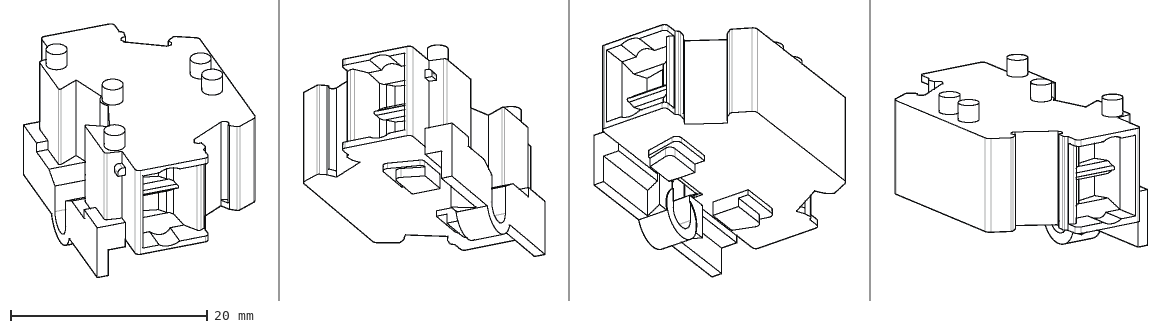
import cadquery as cq


half_width = 14.1
back_y = 18.2
housing_height = 10.0
plate = 0.7
shoulder_y = 3.05
wing_y = 11.0
flank_bottom = (10.25, 10.75)
flank_top = (8.0, 14.5)
leg_y = 1.25
leg_outer_x = 9.65
leg_inner_x = 3.67
notch_corner = (4.9, 3.55)
notch_peak = (0.9, 4.88)
corner_radius = 0.45
leg_radius = 0.3
leg_inner_radius = 0.15
head_side_radius = 0.3
bump_radius = 0.3
head_radius = 0.6

flank_groove_radius = 0.45
flank_groove_centers = [(8.4, 14.75), (10.7, 11.05)]

pin_radius = 1.07
pin_height = 1.8
leg_pin = (8.5, 2.75)
head_pin = (1.7, 15.9)
center_pin_y = 5.7
boss_radius = 1.3

mouth_front_y = 3.77
core_tip = (12.95, 10.33)
core_tip_radius = 0.3
funnel_start_x = 11.3
funnel_throat = [(10.2, 8.55), (9.88, 7.9)]
hole_end = [(9.1, 7.3), (8.55, 5.02)]
funnel_end_x = 10.0
funnel_end_z = 1.7
rib_tip_x = 10.5
rib_tip_half = 0.23
rib_root_half = 0.69
trough_y = 6.65
trough_half_width = 1.12
trough_depth = 0.32

catch_root_x = 9.0
catch_reach_x = 10.83
catch_front_y = 2.25
catch_bottom_z = 7.7
catch_top_z = 8.6
catch_radius = 0.5

bar_half_width = 10.83
bar_end_top = 2.05
bar_top = 1.0
bar_step_x = 7.0
bar_bottom = -3.9
bar_thickness = 1.2
ledge_depth = shoulder_y
ledge_bottom = -0.85
ring_depth = 3.55
hub_base_half = 2.75
hub_back_half = 3.95
hub_back_y = 3.45
slot_radius = 1.57
ring_radius = 2.75
slot_center_z = -3.05
flare_half_width = 3.35
flare_depth_y = 3.98
web_back_y = 5.2
recess_half_width = 2.2
recess_back_y = 4.6
recess_height = 0.24

pad_front_y = 4.67
pad_inner_x = 4.0
pad_outer_x = 9.0
pad_lean = 1.0
pad_step = 0.5
pad_back_radius = 0.6
pad_front_radius = 0.4
wide_pad_back = 9.02
wide_pad_depth = 0.6
tall_pad_back = 7.83
tall_pad_depth = 1.6


def box(x_range, y_range, z_range):
    """Box between the given coordinate pairs."""
    (x0, x1), (y0, y1), (z0, z1) = x_range, y_range, z_range
    return cq.Workplane("XY").box(x1 - x0, y1 - y0, z1 - z0, centered=False).translate((x0, y0, z0))


def prism(points, z_range):
    """Closed XY polygon extruded between two heights."""
    bottom, top = z_range
    return cq.Workplane("XY").workplane(offset=bottom).polyline(points).close().extrude(top - bottom)


def both_sides(solid):
    """The solid together with its mirror image across X = 0."""
    return solid.union(solid.mirror("YZ"))


def upright_edges(solid, x, y, radius):
    """Round the vertical edge that passes through (x, y)."""
    reach = 0.02
    low = (x - reach, y - reach, -housing_height)
    high = (x + reach, y + reach, housing_height)
    near = cq.selectors.BoxSelector(low, high)
    return solid.edges("|Z").edges(near).fillet(radius)


def housing_blank():
    bump = (12.05, 11.37)
    head_corner = (8.35, back_y)
    head_side = (9.52, 15.87)
    shoulder_inner = (9.9, shoulder_y)
    half_outline = [
        (0, back_y), head_corner,
        head_side, (8.95, 15.1), flank_top,
        flank_bottom, (11.1, 11.22), bump, (12.4, wing_y),
        (half_width, wing_y), (half_width, shoulder_y), shoulder_inner,
        (leg_outer_x, leg_y), (leg_inner_x, leg_y), notch_corner, notch_peak,
        (0, notch_peak[1]),
    ]
    half = prism(half_outline, (0, housing_height))
    half = upright_edges(half, *head_corner, head_radius)
    half = upright_edges(half, *head_side, head_side_radius)
    half = upright_edges(half, *bump, bump_radius)
    half = upright_edges(half, half_width, wing_y, corner_radius)
    half = upright_edges(half, half_width, shoulder_y, corner_radius)
    half = upright_edges(half, leg_outer_x, leg_y, leg_radius)
    half = upright_edges(half, leg_inner_x, leg_y, leg_inner_radius)
    boss = cq.Workplane("XY").center(0, center_pin_y).circle(boss_radius).extrude(housing_height)
    return both_sides(half).union(boss)


def flank_grooves():
    cutter = cq.Workplane("XY").workplane(offset=plate).pushPoints(flank_groove_centers)
    return both_sides(cutter.circle(flank_groove_radius).extrude(housing_height))


def pins():
    lx, ly = leg_pin
    hx, hy = head_pin
    centers = [(-lx, ly), (lx, ly), (-hx, hy), (hx, hy), (0, center_pin_y)]
    top = cq.Workplane("XY").workplane(offset=housing_height)
    return top.pushPoints(centers).circle(pin_radius).extrude(pin_height)


def pocket_plan(clear_x):
    """Upright walls of the +X pocket over the full height, open at the mouth and behind the core."""
    flank_run = (flank_bottom[0] - flank_top[0]) / (flank_top[1] - flank_bottom[1])
    tip_x, tip_y = core_tip
    clear_y = wing_y + 1
    core_back = (tip_x - flank_run * (clear_y - tip_y), clear_y)
    walls = [
        (clear_x, mouth_front_y), (funnel_start_x, mouth_front_y), *reversed(hole_end),
        *reversed(funnel_throat), core_tip, core_back, (clear_x, clear_y),
    ]
    return upright_edges(prism(walls, (0, housing_height)), *core_tip, core_tip_radius)


def pocket_profile(clear_x):
    """Floor, ceiling and middle rib of the +X pocket, as a cutter running along Y."""
    middle_z = housing_height / 2
    rim_half = middle_z - plate
    throat_half = middle_z - funnel_end_z
    deep_x = hole_end[-1][0]
    profile = cq.Workplane("XZ", origin=(0, 0, middle_z))
    funnel = [
        (clear_x, -rim_half), (funnel_start_x, -rim_half), (funnel_end_x, -throat_half),
        (deep_x, -throat_half), (deep_x, throat_half), (funnel_end_x, throat_half),
        (funnel_start_x, rim_half), (clear_x, rim_half),
    ]
    rib = (
        profile.moveTo(deep_x, -rib_root_half)
        .lineTo(funnel_end_x, -rib_root_half)
        .lineTo(rib_tip_x, -rib_tip_half)
        .threePointArc((rib_tip_x + rib_tip_half, 0), (rib_tip_x, rib_tip_half))
        .lineTo(funnel_end_x, rib_root_half)
        .lineTo(deep_x, rib_root_half)
        .close()
        .extrude(-back_y)
    )
    return profile.polyline(funnel).close().extrude(-back_y).cut(rib)


def screwdriver_troughs(clear_x):
    """Shallow round troughs in floor and ceiling, running out against the funnel slopes."""
    trough_radius = (trough_half_width**2 + trough_depth**2) / (2 * trough_depth)
    lift = trough_radius - trough_depth
    slope_run = (funnel_start_x - funnel_end_x) / (funnel_end_z - plate)
    start_x = funnel_start_x
    end_profile = [
        (start_x, plate), (start_x + slope_run * trough_depth, plate - trough_depth),
        (clear_x, plate - trough_depth), (clear_x, plate),
    ]
    lower = cq.Workplane("YZ").workplane(offset=start_x).center(trough_y, plate + lift)
    lower = lower.circle(trough_radius).extrude(clear_x - start_x)
    lower = lower.intersect(cq.Workplane("XZ").polyline(end_profile).close().extrude(-back_y))
    return lower.union(lower.mirror("XY", (0, 0, housing_height / 2)))


def wire_pocket():
    """Cutter for the complete +X pocket."""
    clear_x = half_width + 1
    pocket = pocket_plan(clear_x).intersect(pocket_profile(clear_x))
    return pocket.union(screwdriver_troughs(clear_x))


def catches():
    catch = box(
        (catch_root_x, catch_reach_x), (catch_front_y, shoulder_y), (catch_bottom_z, catch_top_z)
    )
    return both_sides(catch.edges("|X and <Y and >Z").fillet(catch_radius))


def bar_outline():
    """Half outline of the bar in X and Z, without the ring."""
    return [
        (0, bar_top), (bar_step_x, bar_top), (bar_step_x, bar_end_top),
        (bar_half_width, bar_end_top), (bar_half_width, bar_bottom), (0, bar_bottom),
    ]


def foot_bar():
    front = cq.Workplane("XZ")
    full = both_sides(front.polyline(bar_outline()).close().extrude(-ledge_depth))
    under_ledge = box(
        (-bar_half_width, bar_half_width), (bar_thickness, ledge_depth), (bar_bottom, ledge_bottom)
    )
    hub_outline = [
        (hub_base_half, bar_thickness), (hub_back_half, hub_back_y),
        (-hub_back_half, hub_back_y), (-hub_base_half, bar_thickness),
    ]
    hub = prism(hub_outline, (bar_bottom, bar_top))
    ring = front.center(0, slot_center_z).circle(ring_radius).extrude(-ring_depth)
    return full.cut(under_ledge).union(hub).union(ring)


def notch_web():
    """Floor that closes the bottom of the dovetail notch behind the bar."""
    outline = [
        (-notch_corner[0], leg_y), (notch_corner[0], leg_y), notch_corner,
        (notch_peak[0], web_back_y), (-notch_peak[0], web_back_y), (-notch_corner[0], notch_corner[1]),
    ]
    return prism(outline, (0, bar_top))


def bar_slot():
    """Round-ended slot through the bar with a flared entry."""
    front = cq.Workplane("XZ")
    slot = front.center(0, slot_center_z).circle(slot_radius).extrude(-ring_depth)
    slot = slot.union(box((-slot_radius, slot_radius), (0, ring_depth), (slot_center_z, bar_top)))
    flare_outline = [
        (-flare_half_width, bar_top), (-slot_radius, 0), (slot_radius, 0), (flare_half_width, bar_top),
    ]
    flare = front.polyline(flare_outline).close().extrude(-flare_depth_y)
    recess = box(
        (-recess_half_width, recess_half_width), (ring_depth, recess_back_y), (0, recess_height)
    )
    return slot.union(flare).union(recess)


def pad(outer_x, back, depth):
    """Pad on the +X side whose outer face leans inward toward the front."""
    front_x = outer_x - pad_lean
    outline = [(pad_inner_x, pad_front_y), (front_x, pad_front_y), (outer_x, back), (pad_inner_x, back)]
    return upright_edges(prism(outline, (-depth, 0)), outer_x, back, pad_back_radius)


def pads():
    wide = pad(pad_outer_x, wide_pad_back, wide_pad_depth)
    wide = upright_edges(wide, pad_outer_x - pad_lean, pad_front_y, pad_front_radius)
    tall = pad(pad_outer_x - pad_step, tall_pad_back, tall_pad_depth)
    return both_sides(wide.union(tall))


housing = housing_blank().cut(flank_grooves()).cut(both_sides(wire_pocket()))
housing = housing.union(pins()).union(catches()).union(pads()).union(notch_web())
result = housing.union(foot_bar()).cut(bar_slot())